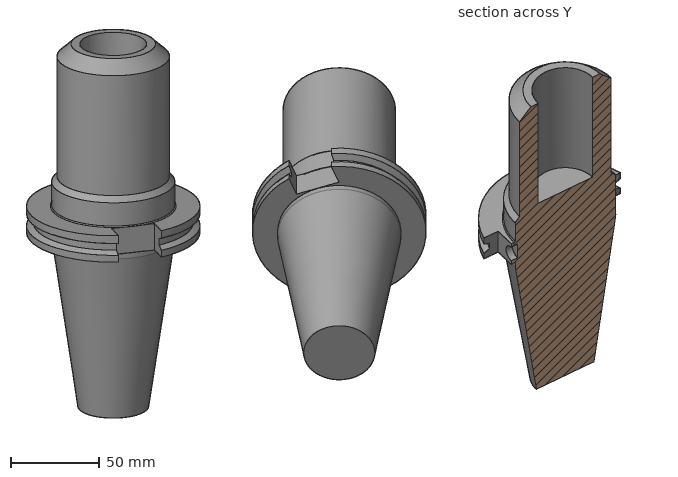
import cadquery as cq

total_length = 218.5
gauge_height = 101.5
flange_bottom = 104.9
flange_thickness = 16.0
flange_top = flange_bottom + flange_thickness
collar_top = 135.5
nose_shoulder_height = 3.3
nose_chamfer_height = 7.5

gauge_diameter = 70.0
taper_ratio = 7 / 24
tail_diameter = gauge_diameter - taper_ratio * gauge_height
flange_diameter = 98.3
groove_diameter = 90.7
collar_diameter = gauge_diameter
foot_fillet = 0.7
nose_diameter = 63.8
nose_tip_diameter = 47.8

groove_lower_edge = 4.2
groove_lower_floor = 6.0
groove_upper_floor = 9.8
groove_upper_edge = 11.4

bore_diameter = 37.8
bore_depth = 76.5

slot_width = 25.5
left_slot_floor = 37.5
right_slot_floor = 35.2
slot_hole_diameter = 10.0
slot_hole_depth = 4.4
slot_hole_height = flange_bottom + flange_thickness / 2


def make_body():
    """Revolve the solid shank, flange, collar and nose."""
    stations = [
        (tail_diameter, 0),
        (gauge_diameter, gauge_height),
        (gauge_diameter, flange_bottom),
        (flange_diameter, flange_bottom),
        (flange_diameter, flange_bottom + groove_lower_edge),
        (groove_diameter, flange_bottom + groove_lower_floor),
        (groove_diameter, flange_bottom + groove_upper_floor),
        (flange_diameter, flange_bottom + groove_upper_edge),
        (flange_diameter, flange_top),
        (collar_diameter, flange_top),
        (collar_diameter, collar_top),
        (nose_diameter, collar_top + nose_shoulder_height),
        (nose_diameter, total_length - nose_chamfer_height),
        (nose_tip_diameter, total_length),
    ]
    outline = [(0, 0)]
    outline += [(diameter / 2, height) for diameter, height in stations]
    outline.append((0, total_length))
    body = cq.Workplane("XZ").polyline(outline).close().revolve(360, (0, 0), (0, 1))
    smallest_circle = cq.selectors.RadiusNthSelector(0)
    return (
        body.faces(cq.selectors.NearestToPointSelector((0, 0, flange_top)))
        .edges(smallest_circle)
        .fillet(foot_fillet)
    )


def make_bore():
    return (
        cq.Workplane("XY", origin=(0, 0, total_length - bore_depth))
        .circle(bore_diameter / 2)
        .extrude(bore_depth)
    )


def make_slot(floor_distance, side):
    """Drive slot through the flange; side is -1 for -X and +1 for +X."""
    slot_depth = flange_diameter / 2 - floor_distance
    return (
        cq.Workplane("XY")
        .box(slot_depth, slot_width, flange_thickness, centered=(True, True, False))
        .translate((side * (floor_distance + slot_depth / 2), 0, flange_bottom))
    )


def make_slot_hole():
    """Blind round hole in the floor of the -X slot."""
    return (
        cq.Workplane("YZ", origin=(-left_slot_floor, 0, slot_hole_height))
        .circle(slot_hole_diameter / 2)
        .extrude(slot_hole_depth)
    )


result = (
    make_body()
    .cut(make_bore())
    .cut(make_slot(left_slot_floor, -1))
    .cut(make_slot(right_slot_floor, 1))
    .cut(make_slot_hole())
)